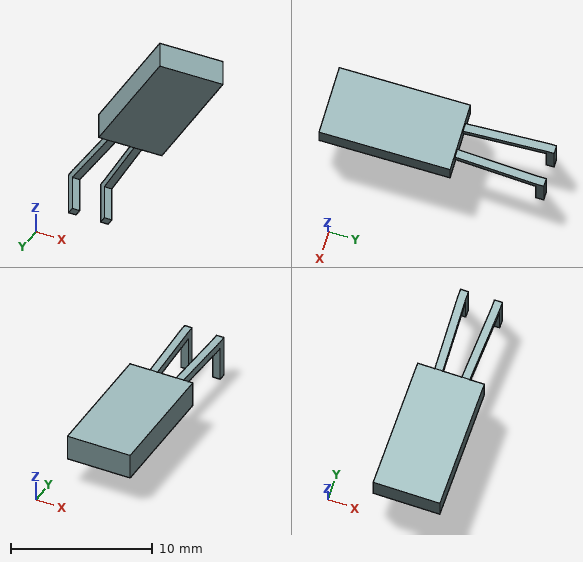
import cadquery as cq

body_width = 5.0
body_length = 9.7
body_height = 2.0

lead_thickness = 0.6
lead_reach = 6.65
lead_exit_spacing = 2.0
lead_foot_spacing = 2.54
foot_drop = 2.0

lead_bottom = (body_height - lead_thickness) / 2
lead_end_y = body_length + lead_reach
bend_start_y = lead_end_y - lead_thickness


def make_body():
    """Rectangular block with its front lower edge on the X axis."""
    return cq.Workplane("XY").box(
        body_width, body_length, body_height, centered=(True, False, False)
    )


def make_lead(side):
    """One bent lead; side is -1 for the -X lead and +1 for the +X lead."""
    exit_x = side * lead_exit_spacing / 2
    foot_x = side * lead_foot_spacing / 2
    half = lead_thickness / 2
    arm = (
        cq.Workplane("XY")
        .workplane(offset=lead_bottom)
        .moveTo(exit_x - half, body_length)
        .lineTo(exit_x + half, body_length)
        .lineTo(foot_x + half, bend_start_y)
        .lineTo(foot_x + half, lead_end_y)
        .lineTo(foot_x - half, lead_end_y)
        .lineTo(foot_x - half, bend_start_y)
        .close()
        .extrude(lead_thickness)
    )
    foot = (
        cq.Workplane("XY")
        .workplane(offset=-foot_drop)
        .center(foot_x, bend_start_y + half)
        .rect(lead_thickness, lead_thickness)
        .extrude(foot_drop + lead_bottom)
    )
    return arm.union(foot)


result = make_body()
for lead_side in (-1, 1):
    result = result.union(make_lead(lead_side))